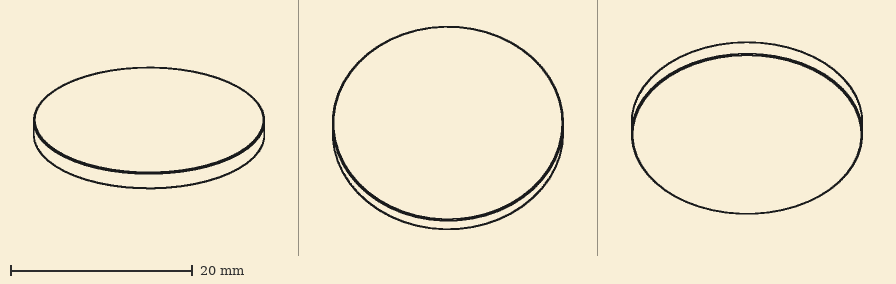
import cadquery as cq

diameter = 25.4
height = 3.18
dome_rise = 1.17
bevel = 0.13

radius = diameter / 2
dome_radius = radius - bevel
dome_edge_z = height - dome_rise

sphere_radius = (dome_radius**2 + dome_rise**2) / (2 * dome_rise)
arc_mid_x = dome_radius / 2
arc_mid_z = height - sphere_radius + (sphere_radius**2 - arc_mid_x**2) ** 0.5

half_section = (
    cq.Workplane("XZ")
    .lineTo(dome_radius, 0)
    .lineTo(radius, bevel)
    .lineTo(radius, dome_edge_z - bevel)
    .lineTo(dome_radius, dome_edge_z)
    .threePointArc((arc_mid_x, arc_mid_z), (0, height))
    .close()
)

result = half_section.revolve(360, (0, 0, 0), (0, 1, 0))